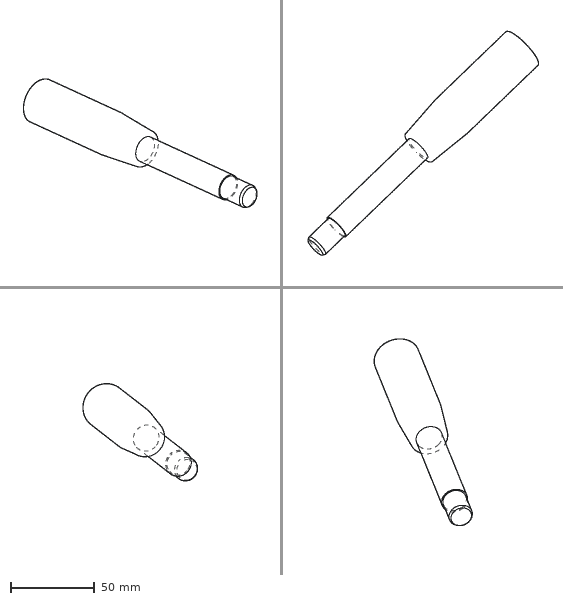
import cadquery as cq

total_length = 177.9
grip_length = 89.7
grip_cylinder_end = 61.2
tip_length = 18.1

grip_diameter = 28.0
grip_neck_diameter = 23.1
rod_diameter = 16.0
tip_diameter = 14.4

dome_height = 0.5
butt_rounding = 0.5
neck_rounding = 0.5
tip_chamfer_length = 1.6
tip_chamfer_depth = 0.9


def make_grip():
    """Cylindrical grip with a shallow domed butt and a tapered neck."""
    radius = grip_diameter / 2
    neck_radius = grip_neck_diameter / 2
    dome_radius = (radius**2 + dome_height**2) / (2 * dome_height)
    half_chord = radius / 2
    half_sag = dome_radius - (dome_radius**2 - half_chord**2) ** 0.5
    grip = (
        cq.Workplane("XY")
        .moveTo(0, 0)
        .threePointArc((half_sag, half_chord), (dome_height, radius))
        .lineTo(grip_cylinder_end, radius)
        .lineTo(grip_length, neck_radius)
        .lineTo(grip_length, 0)
        .close()
        .revolve(360, (0, 0, 0), (1, 0, 0))
    )
    grip = grip.faces(">X").edges().fillet(neck_rounding)
    return grip.faces("<X").edges().fillet(butt_rounding)


def make_shaft():
    """Plain rod with a slightly thinner, chamfered tip."""
    rod_radius = rod_diameter / 2
    tip_radius = tip_diameter / 2
    tip_start = total_length - tip_length
    return (
        cq.Workplane("XY")
        .moveTo(grip_cylinder_end, 0)
        .lineTo(grip_cylinder_end, rod_radius)
        .lineTo(tip_start, rod_radius)
        .lineTo(tip_start, tip_radius)
        .lineTo(total_length - tip_chamfer_length, tip_radius)
        .lineTo(total_length, tip_radius - tip_chamfer_depth)
        .lineTo(total_length, 0)
        .close()
        .revolve(360, (0, 0, 0), (1, 0, 0))
    )


result = make_grip().union(make_shaft())